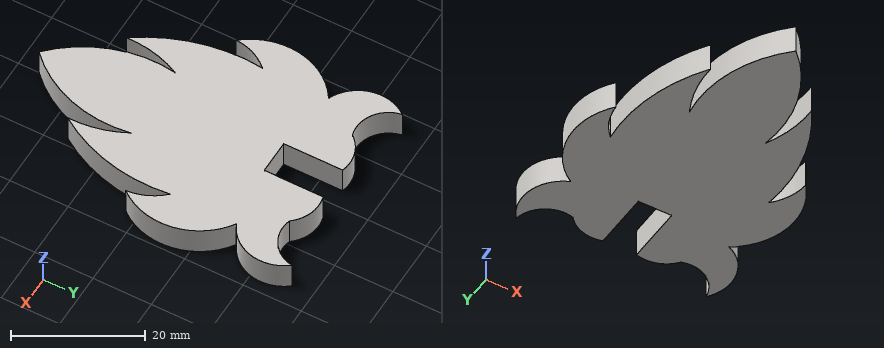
import cadquery as cq

thickness = 5.0
height = 52.95

slot_half_width = 2.9
slot_floor_y = 40.35
slot_top_y = 50.45

slot_floor = (slot_half_width, slot_floor_y)
slot_top = (slot_half_width, slot_top_y)
horn_root = (9.4, 48.4)
horn_tip = (16.5, height)
temple = (13.8, 41.8)
cheek_tip = (16.5, 24.35)
upper_notch = (13.8, 30.45)
side_lock_tip = (8.8, 9.95)
lower_notch = (6.6, 19.6)
beard_tip = (0.0, 0.0)

right_arcs = [
    ((6.55, 50.4), horn_root),
    ((14.05, 49.0), horn_tip),
    ((18.05, 47.05), temple),
    ((19.25, 32.0), cheek_tip),
    ((15.6, 27.9), upper_notch),
    ((13.35, 20.2), side_lock_tip),
    ((8.2, 15.45), lower_notch),
    ((5.7, 8.75), beard_tip),
]


def mirrored(point):
    """Reflect a point across the centre line."""
    x, y = point
    return (-x, y)


outline = cq.Workplane("XY").moveTo(*slot_floor).lineTo(*slot_top)
for middle, end in right_arcs:
    outline = outline.threePointArc(middle, end)

arc_starts = [slot_top] + [end for _, end in right_arcs[:-1]]
for (middle, _), start in zip(reversed(right_arcs), reversed(arc_starts)):
    outline = outline.threePointArc(mirrored(middle), mirrored(start))
outline = outline.lineTo(*mirrored(slot_floor)).close()

result = outline.extrude(thickness)